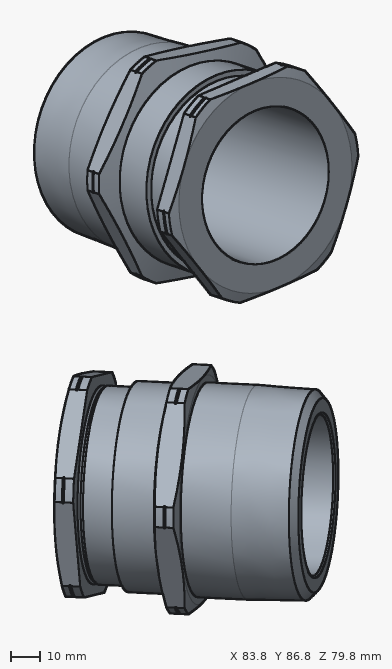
import cadquery as cq
import math

length = 83.8
bore_radius = 27.45
bore_chamfer = 0.7
cone_angle = math.radians(15)

entry_radius = 33.1
entry_chamfer_length = 2.7
taper_start_radius = 36.0
taper_end = 22.6
sleeve_radius = 36.6

middle_start = 40.0
middle_end = 49.5
middle_corner_radius = 43.4
middle_across_flats = 78.5
middle_face_radius = 39.1
middle_back_face_radius = 36.1
middle_groove_x = 44.3

shoulder_radius = 36.0
shoulder_end = 64.1
neck_radius = 33.9
neck_end = 74.5
relief_x = 75.6
relief_radius = 33.0

end_start = 76.4
end_corner_radius = 41.2
end_across_flats = 75.05
end_face_radius = end_across_flats / 2
end_turn = 9.9
end_groove_x = 80.0

groove_width = 0.7
groove_depth = 0.2


def turned(points):
    """Revolve a closed (x, radius) outline about the X axis."""
    return cq.Workplane("XY").polyline(points).close().revolve(360, (0, 0, 0), (1, 0, 0))


def hex_collar(start, end, across_flats, corner_radius, front_radius, back_radius, groove_x, turn):
    """Hexagon trimmed by a turned outline that rounds, chamfers and grooves its corners."""
    front_chamfer = (corner_radius - front_radius) * math.tan(cone_angle)
    back_chamfer = (corner_radius - back_radius) * math.tan(cone_angle)
    front_outline = [(start, 0), (start, front_radius)]
    if front_chamfer > 0:
        front_outline.append((start + front_chamfer, corner_radius))
    envelope = turned(front_outline + [
        (groove_x - groove_width / 2, corner_radius),
        (groove_x, corner_radius - groove_depth),
        (groove_x + groove_width / 2, corner_radius),
        (end - back_chamfer, corner_radius),
        (end, back_radius),
        (end, 0),
    ])
    across_corners = across_flats / math.cos(math.pi / 6)
    prism = (
        cq.Workplane("YZ", origin=(start, 0, 0))
        .polygon(6, across_corners)
        .extrude(end - start)
        .rotate((0, 0, 0), (1, 0, 0), turn)
    )
    return prism.intersect(envelope)


barrel = turned([
    (0, 0),
    (0, entry_radius),
    (entry_chamfer_length, taper_start_radius),
    (taper_end, sleeve_radius),
    (middle_start, sleeve_radius),
    (middle_start, shoulder_radius),
    (shoulder_end, shoulder_radius),
    (shoulder_end, neck_radius),
    (neck_end, neck_radius),
    (relief_x, relief_radius),
    (end_start, neck_radius),
    (length, neck_radius),
    (length, 0),
])

middle_collar = hex_collar(
    middle_start, middle_end, middle_across_flats, middle_corner_radius,
    middle_face_radius, middle_back_face_radius, middle_groove_x, 0,
)

end_collar = hex_collar(
    end_start, length, end_across_flats, end_corner_radius,
    end_corner_radius, end_face_radius, end_groove_x, end_turn,
)

bore = turned([
    (0, 0),
    (0, bore_radius + bore_chamfer),
    (bore_chamfer, bore_radius),
    (length, bore_radius),
    (length, 0),
])

result = barrel.union(middle_collar).union(end_collar).cut(bore)